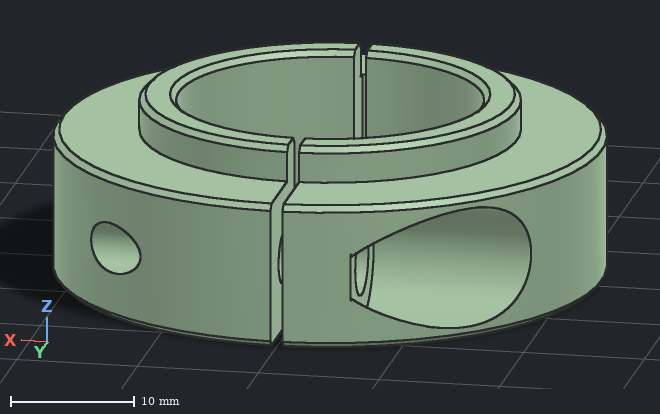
import cadquery as cq

outer_diameter = 45.0
hub_diameter = 31.0
bore_diameter = 25.0
ring_height = 12.0
total_height = 15.0
edge_chamfer = 0.5

slit_width = 1.0
relief_slit_reach = 16.0

screw_y = 17.0
screw_z = ring_height / 2
head_diameter = 10.0
head_seat_x = -6.0
clearance_diameter = 5.5
thread_diameter = 4.15

outer_radius = outer_diameter / 2


def make_collar():
    """Clamping ring with a raised hub and a chamfered bore."""
    ring = cq.Workplane("XY").circle(outer_radius).extrude(ring_height)
    ring = ring.edges().chamfer(edge_chamfer)
    hub = cq.Workplane("XY").circle(hub_diameter / 2).extrude(total_height)
    hub = hub.faces(">Z").edges().chamfer(edge_chamfer)
    bore = cq.Workplane("XY").circle(bore_diameter / 2).extrude(total_height)
    collar = ring.union(hub).cut(bore)
    bore_edges = cq.selectors.RadiusNthSelector(0)
    return collar.edges("%CIRCLE").edges(bore_edges).chamfer(edge_chamfer)


def make_slit(start_y, end_y):
    """Full-height slit centred on X, between two Y positions."""
    plane = cq.Workplane("XY").center(0, (start_y + end_y) / 2)
    return plane.rect(slit_width, end_y - start_y).extrude(total_height)


def make_screw_bore(diameter, start_x, end_x):
    """Cylinder along the clamp screw axis, between two X positions."""
    plane = cq.Workplane("YZ", origin=(start_x, screw_y, screw_z))
    return plane.circle(diameter / 2).extrude(end_x - start_x)


result = make_collar()

result = result.cut(make_slit(0, outer_radius))
result = result.cut(make_slit(-relief_slit_reach, 0))

result = result.cut(make_screw_bore(head_diameter, -outer_radius, head_seat_x))
result = result.cut(make_screw_bore(clearance_diameter, head_seat_x, 0))
result = result.cut(make_screw_bore(thread_diameter, 0, outer_radius))